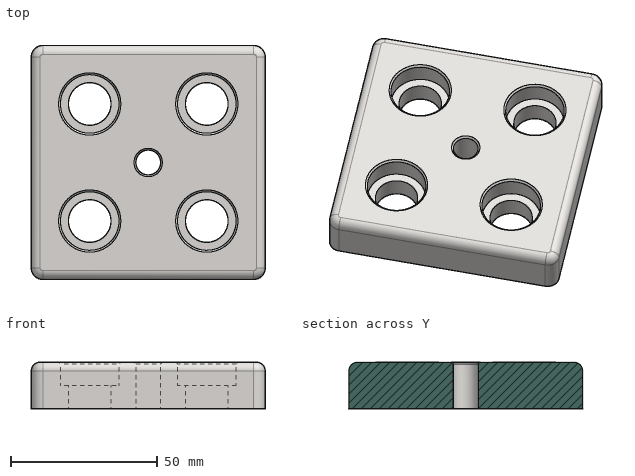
import cadquery as cq

side = 80.0
thickness = 16.0
corner_radius = 4.0
top_edge_radius = 3.0

bolt_spacing = side / 2
bolt_hole_diameter = 14.5
counterbore_diameter = 20.0
counterbore_depth = 8.0

center_hole_diameter = 8.4

rim_chamfer = 0.6


def make_plate():
    """Square plate with rounded corners and a rounded top edge."""
    plate = cq.Workplane("XY").box(side, side, thickness, centered=(True, True, False))
    plate = plate.edges("|Z").fillet(corner_radius)
    return plate.faces(">Z").edges().fillet(top_edge_radius)


def make_rim_cone(diameter):
    """Cone that chamfers the top rim of a hole of the given diameter."""
    return (
        cq.Workplane("XY", origin=(0, 0, thickness))
        .circle(diameter / 2 + rim_chamfer)
        .workplane(offset=-rim_chamfer)
        .circle(diameter / 2)
        .loft(ruled=True)
    )


def make_bolt_cutter():
    """Through hole, counterbore and rim chamfer of one bolt hole."""
    bore = cq.Workplane("XY").circle(bolt_hole_diameter / 2).extrude(thickness)
    counterbore = (
        cq.Workplane("XY", origin=(0, 0, thickness))
        .circle(counterbore_diameter / 2)
        .extrude(-counterbore_depth)
    )
    return bore.union(counterbore).union(make_rim_cone(counterbore_diameter))


def make_center_cutter():
    """Central through hole with its rim chamfer."""
    bore = cq.Workplane("XY").circle(center_hole_diameter / 2).extrude(thickness)
    return bore.union(make_rim_cone(center_hole_diameter))


result = make_plate().cut(make_center_cutter())
for x_sign in (-1, 1):
    for y_sign in (-1, 1):
        position = (x_sign * bolt_spacing / 2, y_sign * bolt_spacing / 2, 0)
        result = result.cut(make_bolt_cutter().translate(position))